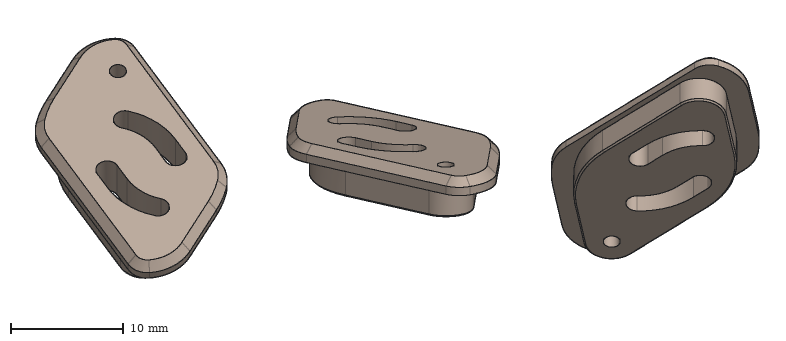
import cadquery as cq
import math

total_height = 4.15
flange_thickness = 1.58
flange_bevel = 0.8
plug_chamfer = 0.15
plug_height = total_height - flange_thickness

slant_angle = 56.3

flange_long_side = 15.55
flange_slant_side = 5.3
shoulder_radius = 4.0
shoulder_turn = 41.0
blend_radius = 10.35
nose_radius = 4.5
nose_turn = 58.0
tip_radius = 2.0

plug_long_side = 9.35
plug_slant_side = 5.41
plug_shoulder_radius = 8.0
plug_tip_radius = 2.49

hole_diameter = 1.5
hole_center = (-8.47, 3.5)

slot_width = 2.02
slot_straight = 1.75
slot_bend_radius = 6.0
slot_bend_angle = 45.0
slot_end = (2.7, 3.0)
slot_pivot_x = 1.81


def heading_vector(heading):
    """Unit vector for a heading in degrees, anticlockwise from +X."""
    angle = math.radians(heading)
    return cq.Vector(math.cos(angle), math.sin(angle))


def arc_offset(heading, radius, turn):
    """Displacement along a clockwise arc that starts on the given heading."""
    chord = 2 * radius * math.sin(math.radians(turn) / 2)
    return heading_vector(heading - turn / 2) * chord


def symmetric_outline(long_side, first_arcs, slant_side, last_arcs):
    """Smooth closed loop of two equal halves, centred on the origin.

    Each half runs along a long side, the first arcs, a slanted side and the last arcs.
    Arcs are (radius, turn) pairs that together turn clockwise through 180 degrees.
    """
    half = [(long_side, 0), *first_arcs, (slant_side, 0), *last_arcs]

    def step(heading, size, turn):
        return arc_offset(heading, size, turn) if turn else heading_vector(heading) * size

    span = cq.Vector()
    heading = 0
    for size, turn in half:
        span += step(heading, size, turn)
        heading -= turn

    point = span * -0.5
    heading = 0
    outline = cq.Workplane("XY").moveTo(point.x, point.y)
    for size, turn in half + half:
        end = point + step(heading, size, turn)
        if turn:
            middle = point + arc_offset(heading, size, turn / 2)
            outline = outline.threePointArc(middle.toTuple()[:2], end.toTuple()[:2])
        else:
            outline = outline.lineTo(end.x, end.y)
        point = end
        heading -= turn
    return outline.close()


def make_plug():
    outline = symmetric_outline(
        plug_long_side,
        [(plug_shoulder_radius, slant_angle)],
        plug_slant_side,
        [(plug_tip_radius, 180 - slant_angle)],
    )
    return outline.extrude(plug_height).faces("<Z").chamfer(plug_chamfer)


def make_flange():
    outline = symmetric_outline(
        flange_long_side,
        [(shoulder_radius, shoulder_turn), (blend_radius, slant_angle - shoulder_turn)],
        flange_slant_side,
        [(nose_radius, nose_turn), (tip_radius, 180 - slant_angle - nose_turn)],
    )
    flange = outline.extrude(flange_thickness).faces(">Z").chamfer(flange_bevel)
    return flange.translate((0, 0, plug_height))


def make_slot():
    """Straight run and bend with round ends, cut to the full height."""
    end_x, end_y = slot_end
    bend_x = end_x - slot_straight
    bend_center = cq.Vector(bend_x, end_y - slot_bend_radius)
    half_width = slot_width / 2
    inner_radius = slot_bend_radius - half_width
    outer_radius = slot_bend_radius + half_width

    def on_bend(radius, angle):
        point = bend_center + heading_vector(90 + angle) * radius
        return point.x, point.y

    bend_end = cq.Vector(*on_bend(slot_bend_radius, slot_bend_angle))
    cap = bend_end + heading_vector(180 + slot_bend_angle) * half_width

    return (
        cq.Workplane("XY")
        .moveTo(bend_x, end_y - half_width)
        .lineTo(end_x, end_y - half_width)
        .threePointArc((end_x + half_width, end_y), (end_x, end_y + half_width))
        .lineTo(bend_x, end_y + half_width)
        .threePointArc(
            on_bend(outer_radius, slot_bend_angle / 2),
            on_bend(outer_radius, slot_bend_angle),
        )
        .threePointArc((cap.x, cap.y), on_bend(inner_radius, slot_bend_angle))
        .threePointArc(
            on_bend(inner_radius, slot_bend_angle / 2),
            (bend_x, end_y - half_width),
        )
        .close()
        .extrude(total_height)
    )


def make_hole():
    return cq.Workplane("XY").center(*hole_center).circle(hole_diameter / 2).extrude(total_height)


result = make_plug().union(make_flange()).cut(make_hole())
slot = make_slot()
for turn in (0, 180):
    result = result.cut(slot.rotate((slot_pivot_x, 0, 0), (slot_pivot_x, 0, 1), turn))